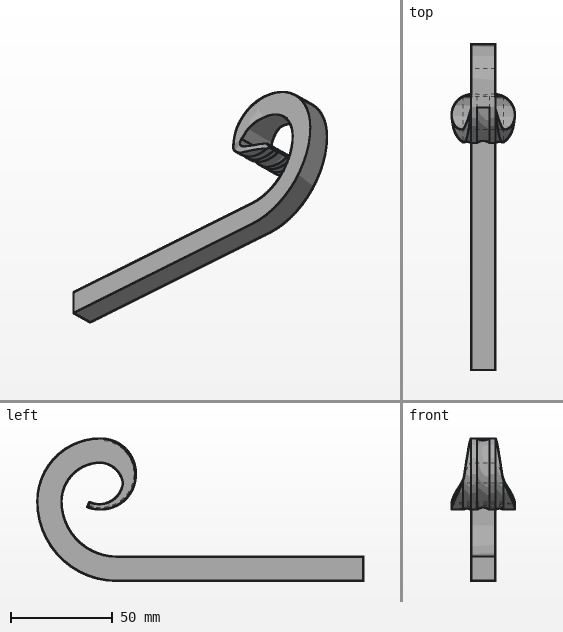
import cadquery as cq
import math

bar_size = 12.0
half_bar = bar_size / 2
total_length = 160.0
total_height = 70.0
lower_bend_radius = 39.0
upper_bend_radius = total_height - lower_bend_radius
lower_bend_y = total_length - lower_bend_radius
upper_bend_y = total_length - upper_bend_radius
bend_z = lower_bend_radius

scroll_outer_radius = 17.5
scroll_center_z = total_height - scroll_outer_radius
scroll_inner_top = (upper_bend_y, total_height - bar_size)
scroll_inner_shoulder = (121.8, 55.1)
scroll_inner_side = (118.0, 48.0)
scroll_inner_corner = (120.6, 41.9)
tip_inner = (134.3, 38.8)
tip_outer_y = 135.5

fan_width = 31.23
half_fan = fan_width / 2
fan_axis_z = 50.0
fan_inner_radius = 4.0
fan_outer_radius = 24.0
fan_half_widths = [
    (0, half_bar),
    (15, 6.4),
    (30, 7.0),
    (45, 7.6),
    (60, 8.3),
    (90, 9.75),
    (115, 12.5),
    (135, 14.4),
    (160, 15.5),
    (185, 16.0),
    (210, 16.2),
]

fan_widest_y = 125.0
tip_corner_radius = tip_outer_y - fan_widest_y

middle_groove_edge = 3.13
middle_groove_depth = 1.0
side_groove_edge = 9.95
side_groove_depth = 0.5
grooves = [
    (-middle_groove_edge, middle_groove_edge, middle_groove_depth),
    (half_bar, side_groove_edge, side_groove_depth),
    (-side_groove_edge, -half_bar, side_groove_depth),
]
groove_sweep = 230.0


def bend_middle(radius, center_y, side):
    """Middle of a quarter bend on the +Y side; side is 1 for the upper bend, -1 for the lower."""
    leg = radius * math.sqrt(0.5)
    return (center_y + leg, bend_z + side * leg)


def make_hook():
    """Straight bar with both bends, ending at the top of the hook."""
    lower_inner_radius = lower_bend_radius - bar_size
    upper_inner_radius = upper_bend_radius - bar_size
    return (
        cq.Workplane("YZ")
        .lineTo(lower_bend_y, 0)
        .threePointArc(bend_middle(lower_bend_radius, lower_bend_y, -1), (total_length, bend_z))
        .threePointArc(bend_middle(upper_bend_radius, upper_bend_y, 1), (upper_bend_y, total_height))
        .lineTo(*scroll_inner_top)
        .threePointArc(bend_middle(upper_inner_radius, upper_bend_y, 1), (total_length - bar_size, bend_z))
        .threePointArc(bend_middle(lower_inner_radius, lower_bend_y, -1), (lower_bend_y, bar_size))
        .lineTo(0, bar_size)
        .close()
        .extrude(half_bar, both=True)
    )


def make_scroll_band():
    """Tapering scroll profile over the full width of the fan."""
    tip_drop = math.sqrt(scroll_outer_radius**2 - (tip_outer_y - upper_bend_y) ** 2)
    return (
        cq.Workplane("YZ")
        .moveTo(upper_bend_y, total_height)
        .threePointArc(
            (upper_bend_y - scroll_outer_radius, scroll_center_z),
            (tip_outer_y, scroll_center_z - tip_drop),
        )
        .lineTo(*tip_inner)
        .threePointArc(scroll_inner_corner, scroll_inner_side)
        .threePointArc(scroll_inner_shoulder, scroll_inner_top)
        .close()
        .extrude(half_fan, both=True)
    )


def make_fan_section(angle, half_width):
    """Rectangle in the radial plane of the scroll at the given angle."""
    turn = math.radians(angle)
    corners = [
        (half_width, fan_inner_radius),
        (half_width, fan_outer_radius),
        (-half_width, fan_outer_radius),
        (-half_width, fan_inner_radius),
    ]
    points = [
        cq.Vector(x, upper_bend_y - radius * math.sin(turn), fan_axis_z + radius * math.cos(turn))
        for x, radius in corners
    ]
    return cq.Wire.makePolygon(points, close=True)


def make_fan():
    """Curved block that widens as it turns from the bar to the tip."""
    sections = [make_fan_section(angle, half_width) for angle, half_width in fan_half_widths]
    return cq.Workplane(cq.Solid.makeLoft(sections))


def make_tip_prism():
    """Upright prism with the rounded tip and the greatest width of the fan."""
    blank = cq.Workplane("XY").box(fan_width, tip_outer_y, total_height, centered=(True, False, False))
    return blank.edges("|Z and >Y").fillet(tip_corner_radius)


def make_groove(left, right, depth):
    """Ring of round section, swept from the top of the scroll over its front past the tip."""
    middle = (left + right) / 2
    half_chord = (right - left) / 2
    radius = (half_chord**2 + depth**2) / (2 * depth)
    ring_radius = scroll_outer_radius - depth + radius
    return (
        cq.Workplane("XZ", origin=(0, upper_bend_y, scroll_center_z))
        .center(middle, ring_radius)
        .circle(radius)
        .revolve(groove_sweep, (0, -ring_radius), (1, -ring_radius))
    )


scroll = make_scroll_band().intersect(make_fan()).intersect(make_tip_prism())
for left, right, depth in grooves:
    scroll = scroll.cut(make_groove(left, right, depth))
result = make_hook().union(scroll)